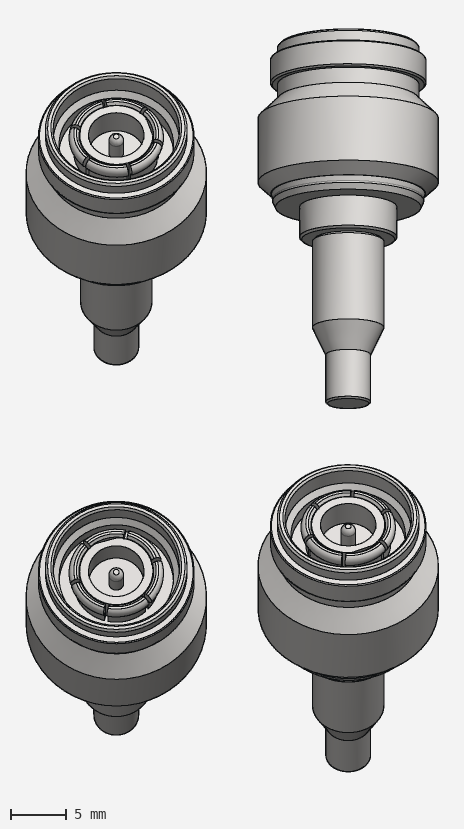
import cadquery as cq

TOTAL_HEIGHT = 33.15
BODY_DIAMETER = 16.2
BODY_RADIUS = BODY_DIAMETER / 2

NECK_RADIUS = 6.35
RIM_CHAMFER = 0.2
RING_RADIUS = 7.0
RING_TOP = 31.92
RING_BOTTOM = 29.55
RING_TOP_CHAMFER = 0.1
RING_BOTTOM_CHAMFER = 0.15
BODY_TOP = 26.42
BODY_UPPER_CONE_END = 28.15
BODY_BOTTOM = 20.5
BODY_LOWER_CONE_END = 19.43
BODY_LOWER_CONE_RADIUS = 6.95
SKIRT_RADIUS = 6.9
SKIRT_BAND_RADIUS = 6.8
SKIRT_BAND_TOP = 18.93
SKIRT_BAND_BOTTOM = 18.75
SKIRT_BOTTOM = 18.2
SKIRT_BOTTOM_RADIUS = 6.53

COLLAR_RADIUS = 4.38
COLLAR_BOTTOM = 15.2
SLEEVE_RADIUS = 3.2
SLEEVE_TAPER_TOP = 7.03
SLEEVE_TAPER_BOTTOM = 4.5
CABLE_RADIUS = 2.02
CABLE_CHAMFER = 0.15
CHAMFER = 0.2

SOCKET_RADIUS = 5.67
SOCKET_LEAD_IN = 0.2
SOCKET_CONE_TOP = 31.23
SOCKET_CONE_BOTTOM = 30.75
SOCKET_LOWER_RADIUS = 5.15
SOCKET_FLOOR = 29.4

FINGER_TOP = 32.32
FINGER_BORE_RADIUS = 3.35
FINGER_LEAD_IN = 0.23
FINGER_STEM_RADIUS = 3.8
FINGER_BEAD_RADIUS = 4.25
FINGER_BEAD_DROP = 0.63
FINGER_SLOT_WIDTH = 0.33
FINGER_COUNT = 6

INSULATOR_RADIUS = 3.28
INSULATOR_TOP = 32.12
INSULATOR_BORE_RADIUS = 2.5
INSULATOR_FLAT_OFFSET = 3.1

PIN_RADIUS = 0.65
PIN_TOP = 31.9
PIN_TIP_RADIUS = 0.25
PIN_NOSE_LENGTH = 0.6
PIN_NOSE_RADIUS = 0.73


def revolve_about_z(outline):
    """Turn a closed (radius, height) outline drawn on XZ around the Z axis."""
    return outline.close().revolve(360, (0, 0, 0), (0, 1, 0))


def cylinder(radius, bottom, top):
    return cq.Workplane("XY").workplane(offset=bottom).circle(radius).extrude(top - bottom)


def make_shell():
    """Turned outside from the cable end up to the rim, with the stepped socket in the top."""
    outline = cq.Workplane("XZ").polyline([
        (0, 0),
        (CABLE_RADIUS - CABLE_CHAMFER, 0),
        (CABLE_RADIUS, CABLE_CHAMFER),
        (CABLE_RADIUS, SLEEVE_TAPER_BOTTOM),
        (SLEEVE_RADIUS, SLEEVE_TAPER_TOP),
        (SLEEVE_RADIUS, COLLAR_BOTTOM - CHAMFER),
        (SLEEVE_RADIUS - CHAMFER, COLLAR_BOTTOM),
        (COLLAR_RADIUS - CHAMFER, COLLAR_BOTTOM),
        (COLLAR_RADIUS, COLLAR_BOTTOM + CHAMFER),
        (COLLAR_RADIUS, SKIRT_BOTTOM),
        (SKIRT_BOTTOM_RADIUS, SKIRT_BOTTOM),
        (SKIRT_BAND_RADIUS, SKIRT_BAND_BOTTOM),
        (SKIRT_BAND_RADIUS, SKIRT_BAND_TOP),
        (SKIRT_RADIUS, BODY_LOWER_CONE_END),
        (BODY_LOWER_CONE_RADIUS, BODY_LOWER_CONE_END),
        (BODY_RADIUS, BODY_BOTTOM),
        (BODY_RADIUS, BODY_TOP),
        (NECK_RADIUS, BODY_UPPER_CONE_END),
        (NECK_RADIUS, RING_BOTTOM),
        (RING_RADIUS - RING_BOTTOM_CHAMFER, RING_BOTTOM),
        (RING_RADIUS, RING_BOTTOM + RING_BOTTOM_CHAMFER),
        (RING_RADIUS, RING_TOP - RING_TOP_CHAMFER),
        (RING_RADIUS - RING_TOP_CHAMFER, RING_TOP),
        (NECK_RADIUS, RING_TOP),
        (NECK_RADIUS, TOTAL_HEIGHT - RIM_CHAMFER),
        (NECK_RADIUS - RIM_CHAMFER, TOTAL_HEIGHT),
        (SOCKET_RADIUS + SOCKET_LEAD_IN, TOTAL_HEIGHT),
        (SOCKET_RADIUS, TOTAL_HEIGHT - SOCKET_LEAD_IN),
        (SOCKET_RADIUS, SOCKET_CONE_TOP),
        (SOCKET_LOWER_RADIUS, SOCKET_CONE_BOTTOM),
        (SOCKET_LOWER_RADIUS, SOCKET_FLOOR),
        (0, SOCKET_FLOOR),
    ])
    return revolve_about_z(outline)


def make_fingers():
    """Beaded tube split into equal fingers by radial slots."""
    bead_center = FINGER_TOP - FINGER_BEAD_DROP
    bead_bottom = bead_center - FINGER_BEAD_DROP
    outline = (
        cq.Workplane("XZ")
        .moveTo(FINGER_BORE_RADIUS, SOCKET_FLOOR)
        .lineTo(FINGER_STEM_RADIUS, SOCKET_FLOOR)
        .lineTo(FINGER_STEM_RADIUS, bead_bottom)
        .threePointArc((FINGER_BEAD_RADIUS, bead_center), (FINGER_STEM_RADIUS, FINGER_TOP))
        .lineTo(FINGER_BORE_RADIUS + FINGER_LEAD_IN, FINGER_TOP)
        .lineTo(FINGER_BORE_RADIUS, FINGER_TOP - FINGER_LEAD_IN)
    )
    fingers = revolve_about_z(outline)
    height = FINGER_TOP - SOCKET_FLOOR
    for index in range(FINGER_COUNT):
        slot = (
            cq.Workplane("XY")
            .box(2 * FINGER_BEAD_RADIUS, FINGER_SLOT_WIDTH, height, centered=(False, True, False))
            .translate((0, 0, SOCKET_FLOOR))
            .rotate((0, 0, 0), (0, 0, 1), index * 360 / FINGER_COUNT)
        )
        fingers = fingers.cut(slot)
    return fingers


def make_insulator():
    """Tube with one flat on its +Y side."""
    tube = cylinder(INSULATOR_RADIUS, SOCKET_FLOOR, INSULATOR_TOP)
    height = INSULATOR_TOP - SOCKET_FLOOR
    beyond_flat = (
        cq.Workplane("XY")
        .box(2 * INSULATOR_RADIUS, INSULATOR_RADIUS, height, centered=(True, False, False))
        .translate((0, INSULATOR_FLAT_OFFSET, SOCKET_FLOOR))
    )
    return tube.cut(beyond_flat).cut(cylinder(INSULATOR_BORE_RADIUS, SOCKET_FLOOR, INSULATOR_TOP))


def make_pin():
    """Center contact with a rounded nose and a small flat tip."""
    shoulder = PIN_TOP - PIN_NOSE_LENGTH
    outline = (
        cq.Workplane("XZ")
        .moveTo(0, SOCKET_FLOOR)
        .lineTo(PIN_RADIUS, SOCKET_FLOOR)
        .lineTo(PIN_RADIUS, shoulder)
        .radiusArc((PIN_TIP_RADIUS, PIN_TOP), -PIN_NOSE_RADIUS)
        .lineTo(0, PIN_TOP)
    )
    return revolve_about_z(outline)


result = make_shell().union(make_fingers()).union(make_insulator()).union(make_pin())